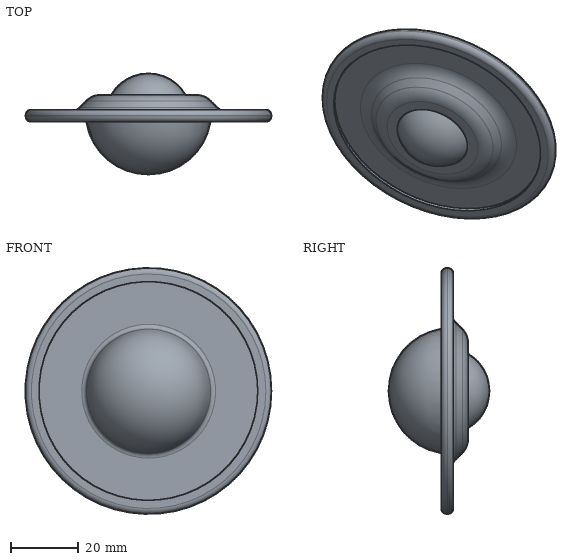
import cadquery as cq

disc_radius = 36.5
disc_thickness = 3.65
edge_round = 1.75
recess_radius = 32.4
recess_depth = 1.0

front_dome_radius = 18.7
front_dome_height = 15.6
front_blend_radius = 1.45

boss_height = 4.4
boss_top_radius = 16.65
boss_round = 5.85
boss_blend_radius = 5.85

back_dome_radius = 12.7
back_dome_height = 6.35

front_face = -disc_thickness / 2
back_face = disc_thickness / 2
front_floor = front_face + recess_depth
back_floor = back_face - recess_depth
boss_face = back_face + boss_height


def revolve_about_y(profile):
    """Revolve a closed half profile in the XY plane about the Y axis."""
    return profile.close().revolve(360, (0, 0), (0, 1))


def cylinder(radius, start, end):
    """Cylinder along Y between two positions."""
    return revolve_about_y(cq.Workplane("XY").moveTo(0, start).hLineTo(radius).vLineTo(end).hLineTo(0))


def spherical_cap(radius, apex, base):
    """Part of a sphere from its apex on the Y axis to a flat base plane."""
    direction = 1 if apex > base else -1
    centre = apex - direction * radius
    sphere = cq.Workplane("XY").sphere(radius).translate((0, centre, 0))
    return sphere.intersect(cylinder(disc_radius, min(apex, base), max(apex, base)))


def circle_edge(radius, position):
    """Selector for the circular edge of a given radius at a position along Y."""
    margin = 0.1
    reach = radius + margin
    return cq.selectors.BoxSelector(
        (-reach, position - margin, -reach),
        (reach, position + margin, reach),
        boundingbox=True,
    )


disc = cylinder(disc_radius, front_face, back_face).edges("%CIRCLE").fillet(edge_round)
disc = disc.cut(cylinder(recess_radius, front_face, front_floor))
disc = disc.cut(cylinder(recess_radius, back_floor, back_face))

dome_centre = front_face - front_dome_height + front_dome_radius
dome_floor_radius = (front_dome_radius**2 - (dome_centre - front_floor) ** 2) ** 0.5
body = disc.union(spherical_cap(front_dome_radius, front_face - front_dome_height, front_floor))
body = body.edges(circle_edge(dome_floor_radius, front_floor)).fillet(front_blend_radius)

boss_base_radius = boss_top_radius + boss_face - back_floor
boss = revolve_about_y(
    cq.Workplane("XY")
    .moveTo(0, back_floor)
    .hLineTo(boss_base_radius)
    .lineTo(boss_top_radius, boss_face)
    .hLineTo(0)
)
body = body.union(boss)
body = body.edges(circle_edge(boss_top_radius, boss_face)).fillet(boss_round)
body = body.edges(circle_edge(boss_base_radius, back_floor)).fillet(boss_blend_radius)

result = body.union(spherical_cap(back_dome_radius, boss_face + back_dome_height, boss_face))